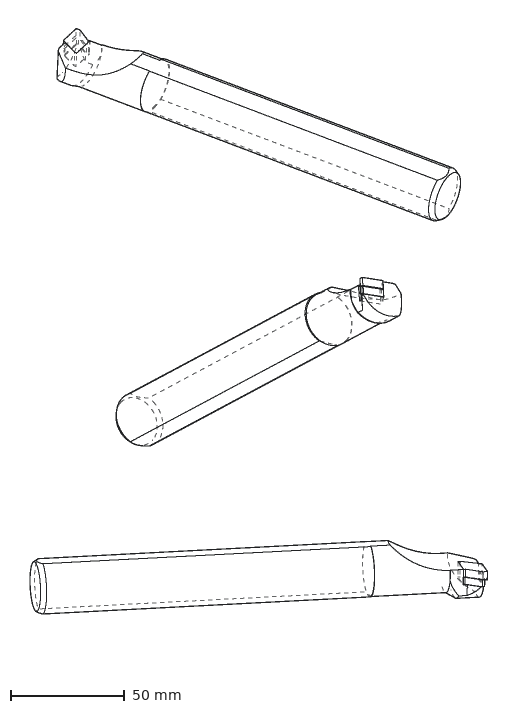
import cadquery as cq
import math

total_length = 200.0
shank_start = 50.0
shank_radius = 12.4
flat_height = 11.4
end_chamfer_length = 2.4
end_chamfer_depth = 1.4

neck_start = 15.8
neck_radius = 12.2
neck_y = -0.4

head_front = 1.4
head_taper_start = 11.8
head_radius = 14.5
head_y = 1.8
head_z = 0.2
head_side_y = 11.4
head_tip_y = 15.4
head_tip_width = 0.8
head_side_start = 8.0
nose_y = -2.4
nose_radius = 4.8
bevel_end_y = -13.0

top_height = 1.4
top_tilt = 4.6
runout_axis_x = -9.2
runout_flat_radius = 27.0
runout_curve_radius = 32.0
runout_height = 18.0

insert_tip_y = 16.0
insert_tip_width = 2.0
insert_back = 9.8
insert_side_y = 11.2
insert_corner_y = 0.0
insert_corner_width = 1.0
insert_front_y = 5.0
insert_thickness = 7.2
upper_tier = 3.8
base_setback_x = 1.0
base_setback_y = 0.8

clearance = 40.0

tilt = math.radians(top_tilt)
top_plane = cq.Plane(
    origin=(0, 0, top_height), xDir=(1, 0, 0), normal=(0, math.sin(tilt), math.cos(tilt))
)


def round_bar(start, end, radius, y=0.0, z=0.0):
    """Cylinder along X between two stations."""
    axis_start = cq.Vector(start, y, z)
    return cq.Workplane(cq.Solid.makeCylinder(radius, end - start, axis_start, cq.Vector(1, 0, 0)))


def make_shank():
    profile = [
        (shank_start, 0),
        (shank_start, shank_radius),
        (total_length - end_chamfer_length, shank_radius),
        (total_length, shank_radius - end_chamfer_depth),
        (total_length, 0),
    ]
    bar = cq.Workplane("XY").polyline(profile).close().revolve(360, (0, 0, 0), (1, 0, 0))
    flats = cq.Workplane("XY").box(2 * total_length, 2 * clearance, 2 * flat_height)
    return bar.intersect(flats)


def make_neck():
    bar = round_bar(neck_start, shank_start, neck_radius, neck_y)
    below_flat = (
        cq.Workplane("XY")
        .workplane(offset=flat_height)
        .rect(2 * total_length, 2 * clearance)
        .extrude(-2 * clearance)
    )
    return bar.intersect(below_flat)


def make_head():
    front = round_bar(head_front, head_taper_start, head_radius, head_y, head_z)
    taper = (
        cq.Workplane("YZ", origin=(head_taper_start, 0, 0))
        .center(head_y, head_z)
        .circle(head_radius)
        .workplane(offset=neck_start - head_taper_start)
        .center(neck_y - head_y, -head_z)
        .circle(neck_radius)
        .loft(ruled=True)
    )
    outline = [
        (head_front, nose_y),
        (head_front, head_tip_y),
        (head_front + head_tip_width, head_tip_y),
        (head_side_start, head_side_y),
        (neck_start, head_side_y),
        (neck_start, bevel_end_y),
        (head_front + nose_y - bevel_end_y, bevel_end_y),
    ]
    prism = (
        cq.Workplane(top_plane)
        .polyline(outline)
        .close()
        .extrude(clearance, both=True)
    )
    nose_corner = top_plane.toWorldCoords((head_front, nose_y, 0)).toTuple()
    nose_edge = cq.selectors.NearestToPointSelector(nose_corner)
    prism = prism.edges(nose_edge).fillet(nose_radius)
    return front.union(taper).intersect(prism)


def make_runout_cutter():
    """Round cutter with a flat bottom and a large corner curve, square to the top face."""
    def curve_reach(height):
        rise = runout_curve_radius - height
        return runout_flat_radius + math.sqrt(runout_curve_radius**2 - rise**2)

    mid_height = runout_height / 2
    return (
        cq.Workplane(top_plane)
        .transformed(offset=(runout_axis_x, 0, 0), rotate=(90, 0, 0))
        .lineTo(runout_flat_radius, 0)
        .threePointArc(
            (curve_reach(mid_height), mid_height), (curve_reach(runout_height), runout_height)
        )
        .lineTo(0, runout_height)
        .close()
        .revolve(360, (0, 0, 0), (0, 1, 0))
    )


def insert_tier(setback_x, setback_y, top_depth, bottom_depth):
    """One layer of the insert, between two depths below the top face."""
    seat_length = insert_back - insert_corner_width
    seat_slope = (insert_corner_y - insert_front_y) / seat_length
    outline = [
        (setback_x, insert_front_y + seat_slope * setback_x),
        (setback_x, insert_tip_y - setback_y),
        (insert_tip_width, insert_tip_y - setback_y),
        (seat_length, insert_side_y - setback_y),
        (insert_back, insert_side_y - setback_y),
        (insert_back, insert_corner_y),
        (seat_length, insert_corner_y),
    ]
    return (
        cq.Workplane(top_plane)
        .workplane(offset=-bottom_depth)
        .polyline(outline)
        .close()
        .extrude(bottom_depth - top_depth)
    )


def make_insert():
    upper = insert_tier(0, 0, 0, upper_tier)
    base = insert_tier(base_setback_x, base_setback_y, upper_tier, insert_thickness)
    return upper.union(base)


def make_pocket():
    """Seat for the insert, open towards the front and the +Y side."""
    outline = [
        (0, insert_front_y),
        (0, insert_tip_y),
        (insert_back, insert_tip_y),
        (insert_back, insert_corner_y),
        (insert_back - insert_corner_width, insert_corner_y),
    ]
    return cq.Workplane(top_plane).polyline(outline).close().extrude(-insert_thickness)


insert = make_insert()
holder = make_shank().union(make_neck()).union(make_head())
holder = holder.cut(make_runout_cutter()).cut(make_pocket())

result = cq.Compound.makeCompound([holder.solids().val(), insert.solids().val()])